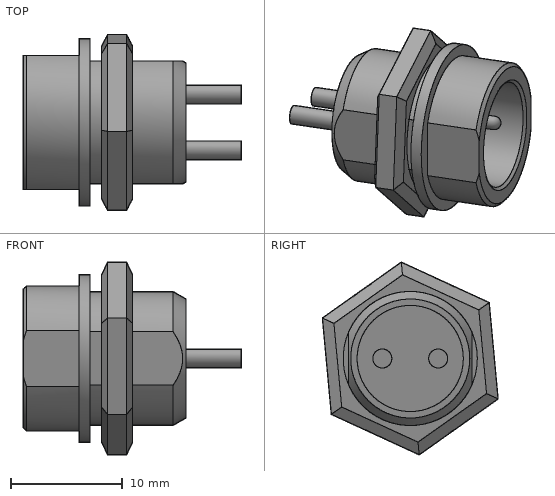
import cadquery as cq
import math


flange_front = 5.0
flange_back = 5.99
housing_back = 14.57
front_diameter = 13.0
front_flat_width = 12.0
front_chamfer = 0.31
flange_diameter = 15.0
rear_diameter = 12.0
rear_flat_width = 11.0
rear_taper_length = 1.17
rear_taper_angle = 30
bore_diameter = 9.5
bore_mouth_diameter = 10.0
mouth_chamfer = (bore_mouth_diameter - bore_diameter) / 2

insert_front = 8.0

nut_sides = 6
nut_front = 7.0
nut_thickness = 2.79
nut_across_flats = 15.0
nut_corner_start = 90
nut_turn = 5.3
nut_bevel_length = 0.55
nut_bevel_depth = 1.0
corner_ratio = 2 / math.sqrt(3)

pin_spacing = 5.0
pin_tip = 1.5
pin_diameter = 1.2
tail_diameter = 1.7
tail_end = 19.5
pin_positions = [-pin_spacing / 2, pin_spacing / 2]


def cylinder(diameter, start, end):
    """Cylinder on the X axis between two stations."""
    return cq.Workplane("YZ", origin=(start, 0, 0)).circle(diameter / 2).extrude(end - start)


def cut_flats(blank, width, start, end):
    """Cut two flats on a round blank, facing -Y and +Y."""
    slab = cq.Workplane("YZ", origin=(start, 0, 0)).rect(width, flange_diameter).extrude(end - start)
    return blank.intersect(slab)


def make_housing():
    front = cylinder(front_diameter, 0, flange_front).faces("<X").chamfer(front_chamfer)
    front = cut_flats(front, front_flat_width, 0, flange_front)

    taper_depth = rear_taper_length * math.tan(math.radians(rear_taper_angle))
    taper_start = housing_back - rear_taper_length
    rear_radius = rear_diameter / 2
    rear = (
        cq.Workplane("XY")
        .moveTo(flange_back, 0)
        .lineTo(flange_back, rear_radius)
        .lineTo(taper_start, rear_radius)
        .lineTo(housing_back, rear_radius - taper_depth)
        .lineTo(housing_back, 0)
        .close()
        .revolve(360, (0, 0, 0), (1, 0, 0))
    )
    rear = cut_flats(rear, rear_flat_width, flange_back, housing_back)

    flange = cylinder(flange_diameter, flange_front, flange_back)
    bore = cylinder(bore_diameter, 0, housing_back)
    body = front.union(flange).union(rear).cut(bore)
    return body.faces("<X").edges(cq.selectors.RadiusNthSelector(0)).chamfer(mouth_chamfer)


def nut_frustum(base_x, direction):
    """Beveled end of the nut: a hexagon shrinking from base_x along the given X direction."""
    face_across_flats = nut_across_flats - 2 * nut_bevel_depth
    return (
        cq.Workplane("YZ", origin=(base_x, 0, 0))
        .polygon(nut_sides, nut_across_flats * corner_ratio)
        .workplane(offset=direction * nut_bevel_length)
        .polygon(nut_sides, face_across_flats * corner_ratio)
        .loft(ruled=True)
    )


def make_nut():
    middle_start = nut_front + nut_bevel_length
    middle_end = nut_front + nut_thickness - nut_bevel_length
    middle = (
        cq.Workplane("YZ", origin=(middle_start, 0, 0))
        .polygon(nut_sides, nut_across_flats * corner_ratio)
        .extrude(middle_end - middle_start)
    )
    hexagon = middle.union(nut_frustum(middle_start, -1)).union(nut_frustum(middle_end, 1))
    hexagon = hexagon.rotate((0, 0, 0), (1, 0, 0), nut_corner_start + nut_turn)
    return hexagon.cut(cylinder(rear_diameter, nut_front, nut_front + nut_thickness))


def make_pin(y):
    shank_radius = pin_diameter / 2
    tail_radius = tail_diameter / 2
    tip_arc = shank_radius * math.sqrt(0.5)
    return (
        cq.Workplane("XY")
        .moveTo(pin_tip, 0)
        .threePointArc(
            (pin_tip + shank_radius - tip_arc, tip_arc),
            (pin_tip + shank_radius, shank_radius),
        )
        .lineTo(housing_back, shank_radius)
        .lineTo(housing_back, tail_radius)
        .lineTo(tail_end, tail_radius)
        .lineTo(tail_end, 0)
        .close()
        .revolve(360, (0, 0, 0), (1, 0, 0))
        .translate((0, y, 0))
    )


def make_insert():
    disc = cylinder(bore_diameter, insert_front, housing_back)
    for y in pin_positions:
        hole = cylinder(pin_diameter, insert_front, housing_back).translate((0, y, 0))
        disc = disc.cut(hole)
    return disc


housing = make_housing()
nut = make_nut()
insert = make_insert()
pins = [make_pin(y) for y in pin_positions]

result = cq.Compound.makeCompound(
    [housing.val(), nut.val(), insert.val(), *[pin.val() for pin in pins]]
)